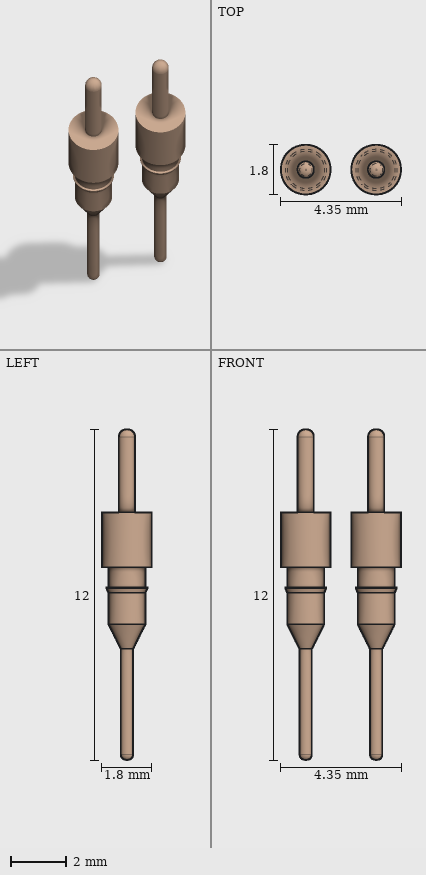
import cadquery as cq

total_length = 11.96
pin_count = 2
collar_diameter = 1.8
row_width = 4.35
pin_pitch = (row_width - collar_diameter) / (pin_count - 1)

post_radius = 0.6 / 2
collar_radius = collar_diameter / 2
barrel_radius = 1.35 / 2
barb_radius = 1.5 / 2
tail_radius = 0.45 / 2

post_rounding = 0.28
tail_rounding = 0.2

post_length = 3.0
collar_length = 2.0
collar_top = total_length - post_length
collar_bottom = collar_top - collar_length
barb_top = 6.25
barb_lip_height = 0.04
barb_height = 0.2
barrel_bottom = 4.92
cone_height = 0.9
tail_top = barrel_bottom - cone_height


def make_cylinder(radius, bottom, top):
    """Cylinder on the Z axis between two heights."""
    return cq.Workplane("XY").workplane(offset=bottom).circle(radius).extrude(top - bottom)


def make_post():
    """Upper contact post with a domed tip."""
    return make_cylinder(post_radius, collar_top, total_length).faces(">Z").edges().fillet(post_rounding)


def make_tail():
    """Thin solder tail with a domed tip."""
    return make_cylinder(tail_radius, 0, tail_top).faces("<Z").edges().fillet(tail_rounding)


def make_cone():
    """Tapered transition from the barrel down to the tail."""
    return (
        cq.Workplane("XY")
        .workplane(offset=tail_top)
        .circle(tail_radius)
        .workplane(offset=cone_height)
        .circle(barrel_radius)
        .loft(ruled=True)
    )


def make_barb():
    """Retention ring: a thin lip above a taper that runs into the barrel."""
    profile = [
        (0, barb_top - barb_height),
        (barrel_radius, barb_top - barb_height),
        (barb_radius, barb_top - barb_lip_height),
        (barb_radius, barb_top),
        (0, barb_top),
    ]
    return cq.Workplane("XZ").polyline(profile).close().revolve(360, (0, 0), (0, 1))


def make_contact_pin(x):
    """One complete pin with its axis at the given X."""
    collar = make_cylinder(collar_radius, collar_bottom, collar_top)
    barrel = make_cylinder(barrel_radius, barrel_bottom, collar_bottom)
    pin = collar.union(make_post()).union(barrel).union(make_barb()).union(make_cone()).union(make_tail())
    return pin.translate((x, 0, 0))


first_pin_x = -pin_pitch * (pin_count - 1) / 2
contact_pins = [make_contact_pin(first_pin_x + index * pin_pitch) for index in range(pin_count)]

result = cq.Compound.makeCompound([pin.solids().val() for pin in contact_pins])